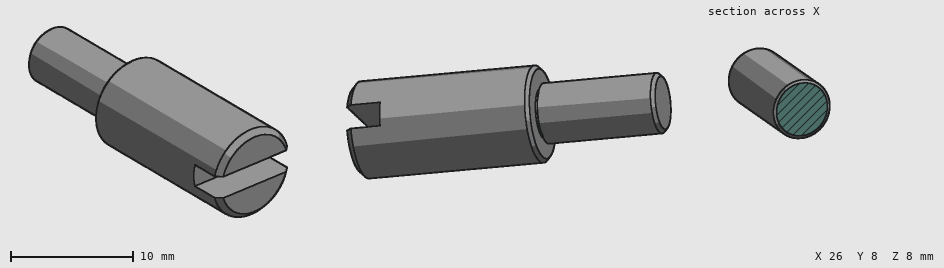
import cadquery as cq

total_length = 26.0
body_radius = 4.0
body_start = 10.3
body_front_chamfer = 0.3
body_rear_chamfer = 0.5

pin_radius = 2.5
pin_length = 9.98
pin_chamfer = 0.3

neck_radius = 2.05
neck_taper_length = 0.15

slot_width = 2.0
slot_depth = 3.0


def turned_blank():
    """Pin, relief neck and body revolved from one half profile."""
    half_profile = (
        cq.Workplane("XY")
        .moveTo(0, 0)
        .lineTo(0, pin_radius - pin_chamfer)
        .lineTo(pin_chamfer, pin_radius)
        .lineTo(pin_length, pin_radius)
        .lineTo(pin_length + neck_taper_length, neck_radius)
        .lineTo(body_start, neck_radius)
        .lineTo(body_start, body_radius - body_front_chamfer)
        .lineTo(body_start + body_front_chamfer, body_radius)
        .lineTo(total_length - body_rear_chamfer, body_radius)
        .lineTo(total_length, body_radius - body_rear_chamfer)
        .lineTo(total_length, 0)
        .close()
    )
    return half_profile.revolve(360, (0, 0, 0), (1, 0, 0))


def screwdriver_slot():
    """Slot across the full body width along Y, open at the rear end."""
    return (
        cq.Workplane("XY")
        .box(slot_depth, 2 * body_radius, slot_width)
        .translate((total_length - slot_depth / 2, 0, 0))
    )


result = turned_blank().cut(screwdriver_slot())